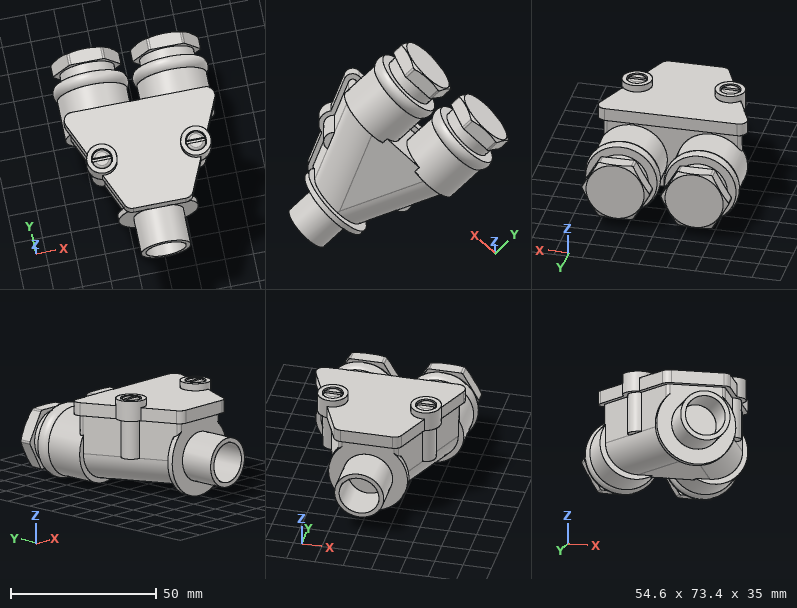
import cadquery as cq
import math


OVERALL_LENGTH = 73.35
COVER_FRONT_Y = 11.0
BODY_FRONT_Y = 13.05
SOCKET_FRONT_Y = 45.0
BODY_BACK_Y = 47.2
COVER_BACK_Y = 49.1
RIM_FRONT_Y = 59.5
SOCKET_BACK_Y = 64.0
HEX_LENGTH = 5.0
HEX_FRONT_Y = OVERALL_LENGTH - HEX_LENGTH

BODY_DEPTH = 10.55
COVER_BASE_Z = 13.85
COVER_THICKNESS = 4.6
BOSS_TOP_Z = 21.0

SPOUT_RADIUS = 8.7
SPOUT_BORE_RADIUS = 7.05
FLANGE_RADIUS = 14.0
FLANGE_THICKNESS = 2.05

SOCKET_PITCH = 27.95
SOCKET_X = SOCKET_PITCH / 2
SOCKET_RADIUS = 12.25
RIM_RADIUS = 13.3
RIM_CREST_Y = 62.0
RIM_END_RADIUS = 12.6
GLAND_NECK_RADIUS = 9.5
HEX_SIDES = 6
HEX_ACROSS_FLATS = 21.05
HEX_EDGE_RADIUS = 0.9
HEX_END_RADIUS = 10.3
HEX_CHAMFER_ANGLE = 25.0

COVER_FRONT_HALF_WIDTH = 11.2
COVER_BACK_HALF_WIDTH = 28.0
COVER_CORNER_RADIUS = 3.0
BODY_CORNER_RADIUS = 1.5
BODY_SIDE_INSET = 1.75

SCREW_X = 16.5
SCREW_Y = 29.9
POST_RADIUS = 3.5
BOSS_RADIUS = 5.3
SCREW_HOLE_RADIUS = 3.6
SCREW_HEAD_RADIUS = 3.4
SCREW_HEAD_FILLET = 0.9
SCREW_HEAD_HEIGHT = 2.5
RECESS_FLOOR_Z = BOSS_TOP_Z - SCREW_HEAD_HEIGHT
SLOT_WIDTH = 1.2
SLOT_DEPTH = 1.2

SIDES = (-1, 1)

SIDE_SLOPE = (COVER_BACK_HALF_WIDTH - COVER_FRONT_HALF_WIDTH) / (COVER_BACK_Y - COVER_FRONT_Y)
SIDE_ANGLE = math.atan(SIDE_SLOPE)


def body_half_width(y):
    """Half width of the untrimmed body between its side walls at a given Y."""
    cover_half_width = COVER_FRONT_HALF_WIDTH + SIDE_SLOPE * (y - COVER_FRONT_Y)
    return cover_half_width - BODY_SIDE_INSET / math.cos(SIDE_ANGLE)


def cylinder_along_y(radius, y_start, y_end, x=0.0):
    return cq.Workplane("XZ", origin=(x, y_start, 0)).circle(radius).extrude(y_start - y_end)


def cylinder_along_z(radius, z_start, z_end, x, y):
    return cq.Workplane("XY", origin=(x, y, z_start)).circle(radius).extrude(z_end - z_start)


def trapezoid_prism(front_y, back_y, front_half, back_half, corner_radius, z_start, z_end):
    outline = [(-front_half, front_y), (front_half, front_y), (back_half, back_y), (-back_half, back_y)]
    prism = cq.Workplane("XY", origin=(0, 0, z_start)).polyline(outline).close().extrude(z_end - z_start)
    return prism.edges("|Z").fillet(corner_radius)


def rounded_side(side):
    """Long block whose outer wall is one side wall of the body, turning under in a quarter round."""
    wall_plane = cq.Plane(
        origin=(side * body_half_width(0), 0, 0),
        xDir=(-side * math.cos(SIDE_ANGLE), math.sin(SIDE_ANGLE), 0),
        normal=(side * math.sin(SIDE_ANGLE), math.cos(SIDE_ANGLE), 0),
    )
    up = wall_plane.yDir.z
    reach = OVERALL_LENGTH
    arc_offset = BODY_DEPTH * (1 - math.sqrt(0.5))
    return (
        cq.Workplane(wall_plane)
        .moveTo(0, up * COVER_BASE_Z)
        .lineTo(0, 0)
        .threePointArc((arc_offset, -up * (BODY_DEPTH - arc_offset)), (BODY_DEPTH, -up * BODY_DEPTH))
        .lineTo(reach, -up * BODY_DEPTH)
        .lineTo(reach, up * COVER_BASE_Z)
        .close()
        .extrude(reach, both=True)
    )


def housing_body():
    body = trapezoid_prism(
        BODY_FRONT_Y, BODY_BACK_Y, body_half_width(BODY_FRONT_Y), body_half_width(BODY_BACK_Y),
        BODY_CORNER_RADIUS, -BODY_DEPTH, COVER_BASE_Z,
    )
    for side in SIDES:
        body = body.intersect(rounded_side(side))
    return body


def front_flange():
    """Disc around the spout, trimmed level with the underside of the cover."""
    disc = cylinder_along_y(FLANGE_RADIUS, BODY_FRONT_Y, BODY_FRONT_Y + FLANGE_THICKNESS)
    diameter = 2 * FLANGE_RADIUS
    space_under_cover = cq.Workplane("XY").box(diameter, OVERALL_LENGTH, diameter)
    return disc.intersect(space_under_cover.translate((0, 0, COVER_BASE_Z - FLANGE_RADIUS)))


def socket(x):
    """Round socket with a bulging rim, turned about its own Y axis."""
    return (
        cq.Workplane("XY", origin=(x, 0, 0))
        .moveTo(0, SOCKET_FRONT_Y)
        .lineTo(SOCKET_RADIUS, SOCKET_FRONT_Y)
        .lineTo(SOCKET_RADIUS, RIM_FRONT_Y)
        .threePointArc((RIM_RADIUS, RIM_CREST_Y), (RIM_END_RADIUS, SOCKET_BACK_Y))
        .lineTo(0, SOCKET_BACK_Y)
        .close()
        .revolve(360, (0, 0, 0), (0, 1, 0))
    )


def make_housing():
    housing = housing_body().union(front_flange())
    housing = housing.union(cylinder_along_y(SPOUT_RADIUS, 0, BODY_FRONT_Y))
    for side in SIDES:
        housing = housing.union(socket(side * SOCKET_X))
        housing = housing.union(cylinder_along_z(POST_RADIUS, 0, COVER_BASE_Z, side * SCREW_X, SCREW_Y))
    return housing.cut(cylinder_along_y(SPOUT_BORE_RADIUS, 0, BODY_FRONT_Y))


def make_cover():
    cover = trapezoid_prism(
        COVER_FRONT_Y, COVER_BACK_Y, COVER_FRONT_HALF_WIDTH, COVER_BACK_HALF_WIDTH,
        COVER_CORNER_RADIUS, COVER_BASE_Z, COVER_BASE_Z + COVER_THICKNESS,
    )
    for side in SIDES:
        x = side * SCREW_X
        cover = cover.union(cylinder_along_z(BOSS_RADIUS, COVER_BASE_Z, BOSS_TOP_Z, x, SCREW_Y))
        cover = cover.cut(cylinder_along_z(SCREW_HOLE_RADIUS, RECESS_FLOOR_Z, BOSS_TOP_Z, x, SCREW_Y))
    return cover


def make_screw(x):
    """Slotted screw head seated in the recess of a cover boss, flush with its top."""
    head = cylinder_along_z(SCREW_HEAD_RADIUS, RECESS_FLOOR_Z, BOSS_TOP_Z, x, SCREW_Y)
    head = head.faces(">Z").edges().fillet(SCREW_HEAD_FILLET)
    slot = cq.Workplane("XY").box(2 * SCREW_HEAD_RADIUS, SLOT_WIDTH, 2 * SLOT_DEPTH)
    return head.cut(slot.translate((x, SCREW_Y, BOSS_TOP_Z)))


def make_gland(x):
    """Hexagonal gland with softened edges and a chamfered outer end, standing on a round neck."""
    across_corners = HEX_ACROSS_FLATS / math.cos(math.pi / HEX_SIDES)
    hexagon = (
        cq.Workplane("XZ", origin=(x, HEX_FRONT_Y, 0))
        .polygon(HEX_SIDES, across_corners)
        .extrude(-HEX_LENGTH)
        .edges("|Y")
        .fillet(HEX_EDGE_RADIUS)
    )
    cone_slope = math.tan(math.radians(HEX_CHAMFER_ANGLE))
    cone_base_radius = HEX_END_RADIUS + HEX_LENGTH / cone_slope
    chamfer_cone = (
        cq.Workplane("XY", origin=(x, 0, 0))
        .polyline([
            (0, HEX_FRONT_Y),
            (cone_base_radius, HEX_FRONT_Y),
            (HEX_END_RADIUS, OVERALL_LENGTH),
            (0, OVERALL_LENGTH),
        ])
        .close()
        .revolve(360, (0, 0, 0), (0, 1, 0))
    )
    neck = cylinder_along_y(GLAND_NECK_RADIUS, SOCKET_BACK_Y, HEX_FRONT_Y, x)
    return hexagon.intersect(chamfer_cone).union(neck)


housing = make_housing()
cover = make_cover()
screws = [make_screw(side * SCREW_X) for side in SIDES]
glands = [make_gland(side * SOCKET_X) for side in SIDES]

result = cq.Compound.makeCompound(
    [housing.val(), cover.val()]
    + [screw.val() for screw in screws]
    + [gland.val() for gland in glands]
)